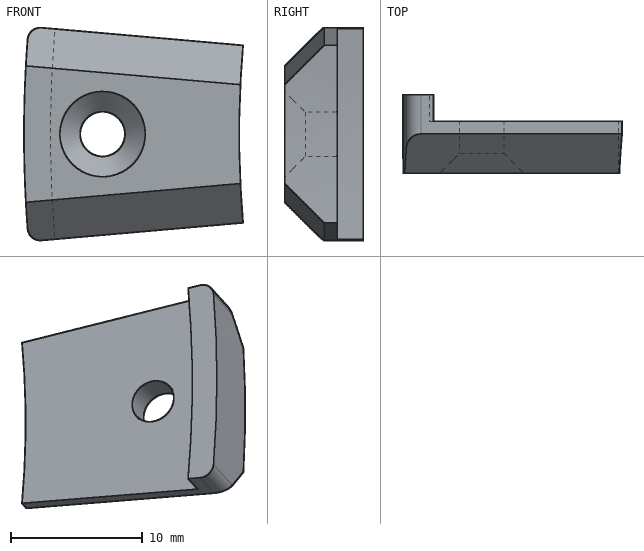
import cadquery as cq
import math

length = 16.71
outer_radius = 94.05
half_angle = 5.0
depth = 6.0
lip_height = 2.0
lip_thickness = 2.0
corner_radius = 1.0
bevel = 3.0
hole_x = 6.0
hole_diameter = 3.4
sink_diameter = 6.5
sink_angle = 90.0

cosine = math.cos(math.radians(half_angle))
sine = math.sin(math.radians(half_angle))
inner_radius = (outer_radius - length) / cosine
plate_thickness = depth - lip_height


def radial_point(radius, side):
    """Point on a radial side; side is +1 for upper and -1 for lower."""
    return (outer_radius - radius * cosine, side * radius * sine)


def sector(small_radius, y_front, thickness):
    """Sector between the outer curve and a concentric smaller curve."""
    outer_corners = cq.selectors.BoxSelector((0, 0, -length), (corner_radius, depth, length))
    return (
        cq.Workplane("XZ", origin=(0, y_front, 0))
        .moveTo(*radial_point(outer_radius, -1))
        .threePointArc((0, 0), radial_point(outer_radius, 1))
        .lineTo(*radial_point(small_radius, 1))
        .threePointArc((outer_radius - small_radius, 0), radial_point(small_radius, -1))
        .close()
        .extrude(-thickness)
        .edges("|Y")
        .edges(outer_corners)
        .fillet(corner_radius)
    )


def side_bevel():
    """Triangular cutter running the full length of the upper radial side."""
    return (
        cq.Workplane("YZ")
        .polyline([(-bevel, -2 * bevel), (2 * bevel, bevel), (-bevel, bevel)])
        .close()
        .extrude(2 * length, both=True)
        .rotate((0, 0, 0), (0, 1, 0), half_angle)
        .translate((length, 0, inner_radius * sine))
    )


def countersunk_hole():
    sink_depth = (sink_diameter - hole_diameter) / 2 / math.tan(math.radians(sink_angle / 2))
    profile = [
        (0, 0),
        (sink_diameter / 2, 0),
        (hole_diameter / 2, sink_depth),
        (hole_diameter / 2, depth),
        (0, depth),
    ]
    return (
        cq.Workplane("XY")
        .polyline(profile)
        .close()
        .revolve(360, (0, 0, 0), (0, 1, 0))
        .translate((hole_x, 0, 0))
    )


plate = sector(inner_radius, 0, plate_thickness)
lip = sector(outer_radius - lip_thickness, plate_thickness, lip_height)
upper_bevel = side_bevel()
lower_bevel = upper_bevel.mirror("XY")
result = plate.union(lip).cut(upper_bevel).cut(lower_bevel).cut(countersunk_hole())